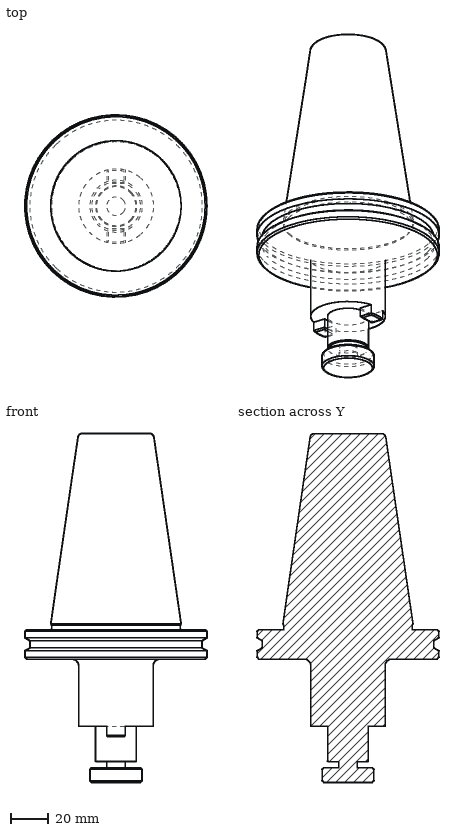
import cadquery as cq
import math


gauge_radius = 69.85 / 2
taper_length = 101.75
taper_ratio = 7 / 24
taper_end_radius = gauge_radius - taper_length * taper_ratio / 2
taper_end_fillet = 2.5

neck_radius = 34.5
neck_chamfer_height = 1.0
neck_root_fillet = 0.4

flange_radius = 97.5 / 2
flange_top = -3.2
flange_bottom = -19.1
flange_edge_chamfer = 1.0
groove_center = -11.1
groove_floor_half_width = 1.875
groove_mouth_half_width = 3.4
groove_wall_angle = math.radians(30)
groove_depth = (groove_mouth_half_width - groove_floor_half_width) / math.tan(groove_wall_angle)

nose_radius = 20.0
nose_bottom = -55.0
nose_root_fillet = 3.5

pilot_radius = 11.0
pilot_bottom = -74.0
pilot_chamfer = 0.5

screw_shank_radius = 5.0
screw_head_radius = 14.0
screw_head_top = -77.0
screw_head_bottom = -85.0
screw_head_chamfer = 1.0

tenon_width = 10.0
tenon_height = 5.6
tenon_inner_offset = 12.0
tenon_chamfer = 0.8


def disc(radius, bottom, top):
    """Cylinder on the Z axis between two heights."""
    return cq.Workplane("XY").workplane(offset=bottom).circle(radius).extrude(top - bottom)


def make_taper():
    profile = [
        (0, 0),
        (gauge_radius, 0),
        (taper_end_radius, taper_length),
        (0, taper_length),
    ]
    taper = cq.Workplane("XZ").polyline(profile).close().revolve(360, (0, 0), (0, 1))
    return taper.faces(">Z").edges().fillet(taper_end_fillet)


def make_neck():
    """Relief neck below the taper, flaring into the flange top through a concave fillet."""
    profile = (
        cq.Workplane("XZ")
        .moveTo(0, flange_top)
        .lineTo(neck_radius + neck_root_fillet, flange_top)
        .radiusArc((neck_radius, flange_top + neck_root_fillet), neck_root_fillet)
        .lineTo(neck_radius, -neck_chamfer_height)
        .lineTo(gauge_radius, 0)
        .lineTo(0, 0)
        .close()
    )
    return profile.revolve(360, (0, 0), (0, 1))


def make_flange():
    flange = disc(flange_radius, flange_bottom, flange_top).edges().chamfer(flange_edge_chamfer)
    groove_profile = [
        (flange_radius, groove_center + groove_mouth_half_width),
        (flange_radius - groove_depth, groove_center + groove_floor_half_width),
        (flange_radius - groove_depth, groove_center - groove_floor_half_width),
        (flange_radius, groove_center - groove_mouth_half_width),
    ]
    groove = cq.Workplane("XZ").polyline(groove_profile).close().revolve(360, (0, 0), (0, 1))
    return flange.cut(groove)


def make_nose():
    """Nose cylinder flaring into the flange through a concave fillet."""
    root_radius = nose_radius + nose_root_fillet
    fillet_bottom = flange_bottom - nose_root_fillet
    arc_reach = nose_root_fillet * math.cos(math.radians(45))
    arc_middle = (root_radius - arc_reach, fillet_bottom + arc_reach)
    profile = (
        cq.Workplane("XZ")
        .moveTo(0, nose_bottom)
        .lineTo(nose_radius, nose_bottom)
        .lineTo(nose_radius, fillet_bottom)
        .threePointArc(arc_middle, (root_radius, flange_bottom))
        .lineTo(0, flange_bottom)
        .close()
    )
    return profile.revolve(360, (0, 0), (0, 1))


def make_pilot():
    return disc(pilot_radius, pilot_bottom, nose_bottom).faces("<Z").edges().chamfer(pilot_chamfer)


def make_screw():
    head = disc(screw_head_radius, screw_head_bottom, screw_head_top).edges().chamfer(screw_head_chamfer)
    shank = disc(screw_shank_radius, screw_head_top, pilot_bottom)
    return head.union(shank)


def make_tenon(side):
    """Tenon block trimmed to the nose cylinder; side is +1 or -1 along Y."""
    tenon_bottom = nose_bottom - tenon_height
    length = nose_radius - tenon_inner_offset
    block = (
        cq.Workplane("XY")
        .workplane(offset=tenon_bottom)
        .center(0, side * (tenon_inner_offset + length / 2))
        .rect(tenon_width, length)
        .extrude(tenon_height)
    )
    tenon = block.intersect(disc(nose_radius, tenon_bottom, nose_bottom))
    return tenon.faces("<Z").edges().chamfer(tenon_chamfer)


result = make_taper().union(make_neck()).union(make_flange()).union(make_nose())
result = result.union(make_pilot()).union(make_screw())
for tenon_side in (1, -1):
    result = result.union(make_tenon(tenon_side))